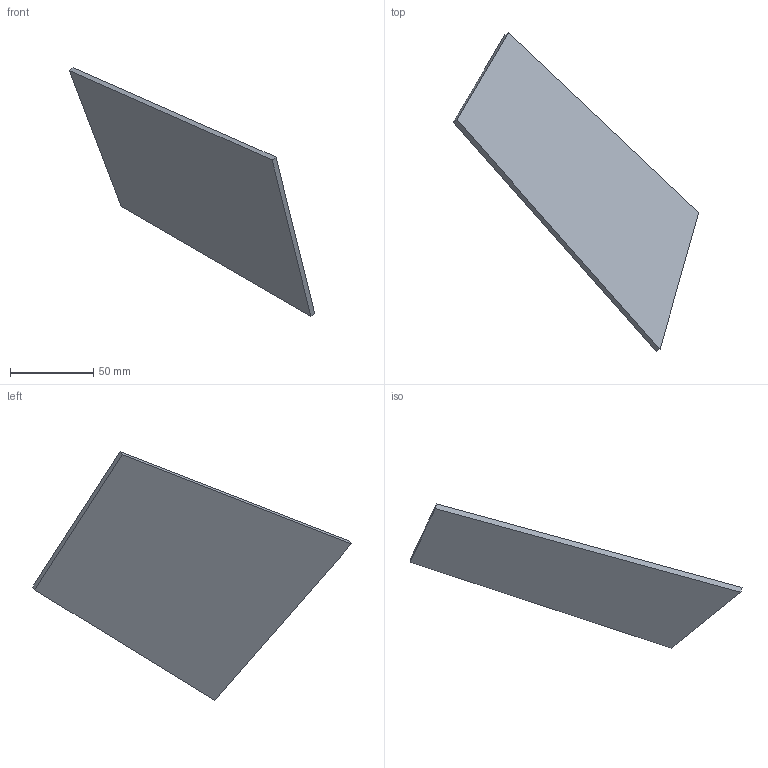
import cadquery as cq
import math

THICKNESS = 3.175
LONG_EDGE = 170.488
SHORT_EDGE = 126.848
FAR_CORNER = (189.51, 99.799)

NORMAL_AZIMUTH = 30.488
NORMAL_ELEVATION = 33.321
LONG_EDGE_ROLL = 27.717

SQUARE_CORNER = cq.Vector(71.413, -13.585, -74.61)


def plate_plane():
    """Plane of the lower face, with x along the long edge."""
    azimuth = math.radians(NORMAL_AZIMUTH)
    elevation = math.radians(NORMAL_ELEVATION)
    roll = math.radians(LONG_EDGE_ROLL)
    normal = cq.Vector(
        math.cos(elevation) * math.cos(azimuth),
        math.cos(elevation) * math.sin(azimuth),
        math.sin(elevation),
    )
    horizontal = cq.Vector(-math.sin(azimuth), math.cos(azimuth), 0)
    uphill = normal.cross(horizontal)
    long_direction = horizontal * math.cos(roll) + uphill * math.sin(roll)
    return cq.Plane(origin=SQUARE_CORNER, xDir=long_direction, normal=normal)


def make_plate():
    """Extrude the four-sided outline from the lower face along its normal."""
    outline = [(0, 0), (LONG_EDGE, 0), FAR_CORNER, (0, SHORT_EDGE)]
    return cq.Workplane(plate_plane()).polyline(outline).close().extrude(THICKNESS)


result = make_plate()